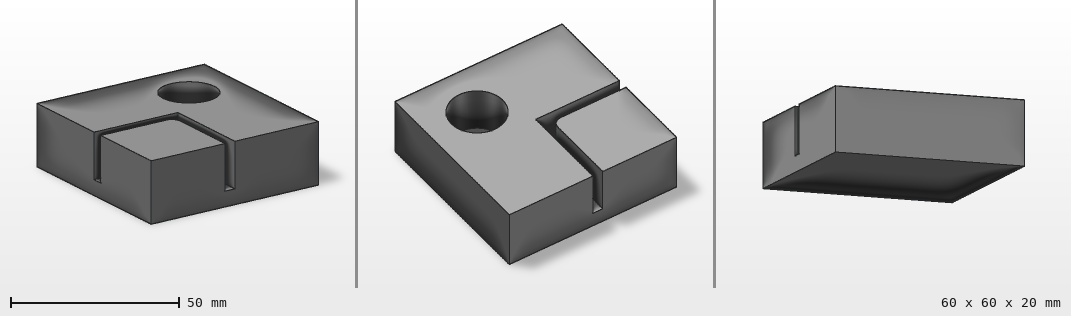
import cadquery as cq

side = 60.0
height = 20.0

hole_diameter = 18.4
hole_depth = 15.0
hole_inset = 17.5
hole_x = hole_inset
hole_y = side - hole_inset

slot_width = 3.5
slot_depth = 15.0
slot_corner_x = side / 2
slot_corner_y = side / 2
island_radius = 3.0


def make_block():
    return cq.Workplane("XY").box(side, side, height, centered=False)


def make_hole():
    return (
        cq.Workplane("XY", origin=(hole_x, hole_y, height))
        .circle(hole_diameter / 2)
        .extrude(-hole_depth)
    )


def make_slot():
    """Square corner pocket, less the island that is left standing in it."""
    pocket_x = side - slot_corner_x
    pocket_y = slot_corner_y
    floor = height - slot_depth
    pocket = cq.Workplane("XY", origin=(slot_corner_x, 0, floor)).box(
        pocket_x, pocket_y, slot_depth, centered=False
    )
    island = (
        cq.Workplane("XY", origin=(slot_corner_x + slot_width, 0, floor))
        .box(pocket_x - slot_width, pocket_y - slot_width, slot_depth, centered=False)
        .edges("|Z and <X and >Y")
        .fillet(island_radius)
    )
    return pocket.cut(island)


result = make_block().cut(make_hole()).cut(make_slot())